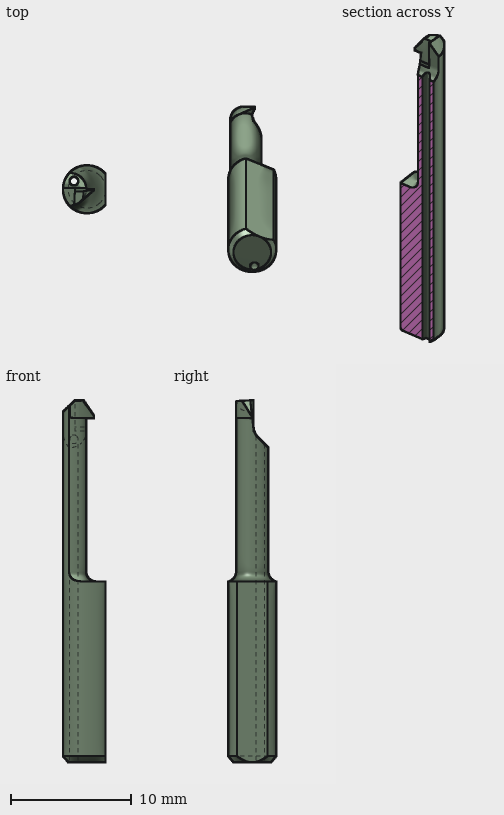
import cadquery as cq
import math


shank_radius = 2.0
flat_x = 1.55
total_length = 30.01
shoulder_z = 15.0
end_chamfer_width = 0.44
end_chamfer_height = 0.5

neck_x = -1.4
neck_radius = 1.345
shoulder_fillet = 0.8

head_back_y = 0.12
ramp_end_y = neck_radius
ramp_end_z = 26.08
ramp_fillet = 1.2
ramp_angle = 45.0

tip_x = 0.6
tip_land_y = -0.06
head_radius = 1.355
flank_start_x = -0.62
tooth_bottom_z = 28.51
tip_land_top_z = 28.72
top_left_x = -1.0
top_right_x = -0.26
flank_clearance = 6.0
underside_clearance = 2.0
top_clearance = 3.0
back_chamfer_z = 29.04

rake_top_y = -0.17
rake_tip_y = 0.0

coolant_diameter = 0.7
coolant_x = -1.08
coolant_y = 0.67

margin = 1.0


def yz_prism(outline, x_start, x_end):
    """Extrude a closed YZ outline between two X positions."""
    return outline.close().extrude(x_end - x_start).translate((x_start, 0, 0))


def make_bar():
    """Full-length round bar with the end chamfer and the clamping flat."""
    bar = (
        cq.Workplane("XY").circle(shank_radius).extrude(total_length)
        .faces("<Z").chamfer(end_chamfer_height, end_chamfer_width)
    )
    width = 2 * (shank_radius + margin)
    keep = cq.Workplane("XY").box(width, width, total_length, centered=(False, True, False))
    return bar.intersect(keep.translate((flat_x - width, 0, 0)))


def make_core():
    """Envelope of shank and neck, joined by a concave fillet around the neck axis."""
    wide = 2 * shank_radius + margin
    foot = neck_radius + shoulder_fillet
    inset = shoulder_fillet * (1 - math.sqrt(0.5))
    profile = (
        cq.Workplane("XZ").moveTo(0, 0).lineTo(wide, 0).lineTo(wide, shoulder_z).lineTo(foot, shoulder_z)
        .threePointArc((neck_radius + inset, shoulder_z + inset), (neck_radius, shoulder_z + shoulder_fillet))
        .lineTo(neck_radius, total_length).lineTo(0, total_length).close()
    )
    return profile.revolve(360, (0, 0), (0, 1)).translate((neck_x, 0, 0))


def make_tooth():
    """Head with a round side over the neck and a straight side running out to the tip."""
    flank_start_y = -math.sqrt(head_radius**2 - (flank_start_x - neck_x) ** 2)
    arc_middle_angle = (math.atan2(flank_start_y, flank_start_x - neck_x) - math.pi / 2) / 2
    arc_middle = (
        neck_x + head_radius * math.cos(arc_middle_angle),
        head_radius * math.sin(arc_middle_angle),
    )
    plan = (
        cq.Workplane("XY").moveTo(neck_x, head_back_y).lineTo(tip_x, head_back_y)
        .lineTo(tip_x, tip_land_y).lineTo(flank_start_x, flank_start_y)
        .threePointArc(arc_middle, (neck_x, -head_radius)).close()
        .extrude(total_length)
    ).intersect(cq.Workplane("XY").circle(shank_radius).extrude(total_length))

    rise = math.tan(math.radians(underside_clearance))
    side = (
        cq.Workplane("YZ").moveTo(head_back_y, total_length)
        .lineTo(head_back_y, tooth_bottom_z - head_back_y * rise)
        .lineTo(-shank_radius, tooth_bottom_z + shank_radius * rise)
        .lineTo(-shank_radius, total_length)
    )
    return plan.intersect(yz_prism(side, -shank_radius, shank_radius))


def make_flank_cut():
    """Space above the sloping tooth flank, set back towards -Y to give the flank clearance."""
    slope = (total_length - tip_land_top_z) / (tip_x - top_right_x)

    def outline(y):
        setback = -y * math.tan(math.radians(flank_clearance))
        corners = [
            (top_right_x - setback - margin / slope, total_length + margin),
            (tip_x - setback + margin, total_length + margin),
            (tip_x - setback + margin, tip_land_top_z - margin * slope),
        ]
        return cq.Wire.makePolygon([cq.Vector(x, y, z) for x, z in corners], close=True)

    ends = [outline(head_back_y), outline(-shank_radius)]
    return cq.Workplane("XY").add(cq.Solid.makeLoft(ends, True))


def make_back_relief():
    """Space behind the head: flat back face, fillet and ramp out to the full neck."""
    angle = math.radians(ramp_angle)
    centre_y = head_back_y + ramp_fillet
    ramp_start_y = centre_y - ramp_fillet * math.cos(angle)
    ramp_start_z = ramp_end_z + (ramp_end_y - ramp_start_y) / math.tan(angle)
    centre_z = ramp_start_z + ramp_fillet * math.sin(angle)
    middle = (
        centre_y - ramp_fillet * math.cos(angle / 2),
        centre_z - ramp_fillet * math.sin(angle / 2),
    )
    outer_y = ramp_end_y + margin
    outline = (
        cq.Workplane("YZ").moveTo(head_back_y, total_length + margin).lineTo(head_back_y, centre_z)
        .threePointArc(middle, (ramp_start_y, ramp_start_z))
        .lineTo(outer_y, ramp_end_z - margin / math.tan(angle))
        .lineTo(outer_y, total_length + margin)
    )
    return yz_prism(outline, -shank_radius - margin, shank_radius)


def make_rake_cut():
    """Sloping rake face, starting at the edge of the back chamfer."""
    slope = (rake_tip_y - rake_top_y) / (total_length - tooth_bottom_z)
    rake_end_z = total_length - (head_back_y - rake_top_y) / slope
    outline = (
        cq.Workplane("YZ").moveTo(rake_top_y, total_length)
        .lineTo(head_back_y, rake_end_z).lineTo(head_back_y, total_length)
    )
    return yz_prism(outline, top_left_x, shank_radius)


def make_top_relief():
    """Thin wedge that slopes the top land down from the rake face."""
    outer_y = -shank_radius
    drop = (rake_top_y - outer_y) * math.tan(math.radians(top_clearance))
    outline = (
        cq.Workplane("YZ").moveTo(rake_top_y, total_length).lineTo(outer_y, total_length - drop)
        .lineTo(outer_y, total_length)
    )
    return yz_prism(outline, -shank_radius, shank_radius)


def make_back_chamfer():
    """Wedge removed from the -X side of the tip."""
    return (
        cq.Workplane("XZ").moveTo(-shank_radius, back_chamfer_z).lineTo(top_left_x, total_length)
        .lineTo(-shank_radius, total_length).close().extrude(2 * shank_radius, both=True)
    )


def make_coolant_hole():
    """Coolant bore running the full length, parallel to the shank axis."""
    return (
        cq.Workplane("XY").center(coolant_x, coolant_y)
        .circle(coolant_diameter / 2).extrude(total_length)
    )


result = make_bar().intersect(make_core()).union(make_tooth())
for cutter in (
    make_back_relief(),
    make_flank_cut(),
    make_rake_cut(),
    make_top_relief(),
    make_back_chamfer(),
    make_coolant_hole(),
):
    result = result.cut(cutter)